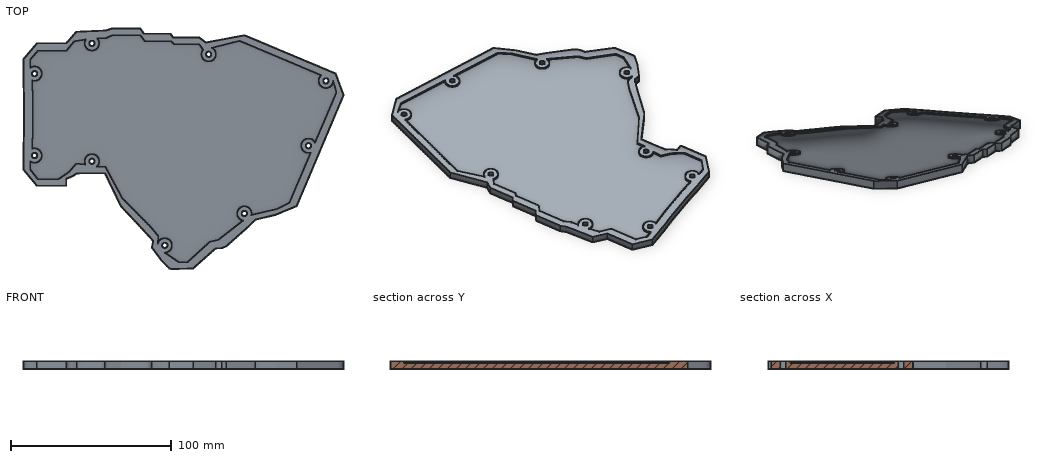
import cadquery as cq

LENGTH = 199.99
WIDTH = 150.43
THICKNESS = 5.0

POCKET_DEPTH = 1.0
POCKET_LEFT = 4.3
POCKET_SIDE = 5.5
POCKET_BEVEL = 9.0
POCKET_LEFT_TOP = 136.3
POCKET_LEFT_BOTTOM = 56.2

BOSS_DIAMETER = 9.0
HOLE_DIAMETER = 3.2

STEP_IN = 0.2
RECESS = 0.4
STEP_LOW_Y = 80.9
RECESS_LOW_Y = 87.5
RECESS_HIGH_Y = 105.6
STEP_HIGH_Y = 112.2

LEFT_BEVEL = 8.5
LEFT_RUN_END = 26.8
LEFT_TOP = 141.1
LEFT_BOTTOM = 52.0
LEFT_WALL_TOP = 131.1
LEFT_WALL_BOTTOM = 62.2

LEFT_WALL = [
    (0, LEFT_WALL_BOTTOM),
    (0, 77.3),
    (STEP_IN, STEP_LOW_Y),
    (RECESS, RECESS_LOW_Y),
    (RECESS, RECESS_HIGH_Y),
    (STEP_IN, STEP_HIGH_Y),
    (0, 115.2),
    (0, LEFT_WALL_TOP),
]

TOP_EDGE = [
    (LEFT_BEVEL, LEFT_TOP),
    (LEFT_RUN_END, LEFT_TOP),
    (33.1, 148.3),
    (51.5, 149.1),
    (55.5, WIDTH),
    (73.1, WIDTH),
    (75.2, 147.1),
    (91.8, 147.1),
    (93.6, 144.7),
    (109.8, 144.7),
    (114.0, 141.6),
    (138.1, 146.1),
]

RIGHT_EDGE = [
    (195.0, 122.2),
    (LENGTH, 108.7),
    (170.7, 39.4),
    (157.5, 33.9),
    (144.7, 30.8),
]

BOTTOM_EDGE = [
    (144.2, 30.2),
    (139.8, 25.9),
    (126.6, 14.2),
    (123.8, 13.1),
    (120.0, 12.9),
    (106.7, 1.1),
    (106.1, 0.4),
    (92.7, 0),
    (91.2, 0.4),
    (86.1, 5.6),
    (80.2, 13.5),
    (81.0, 17.7),
    (71.1, 28.5),
    (60.9, 39.3),
    (50.9, 59.9),
    (38.0, 59.9),
    (33.3, 59.7),
    (31.4, 58.5),
    (30.7, 58.0),
    (LEFT_RUN_END, 56.4),
    (LEFT_RUN_END, LEFT_BOTTOM),
    (LEFT_BEVEL, LEFT_BOTTOM),
]

OUTER_OUTLINE = LEFT_WALL + TOP_EDGE + RIGHT_EDGE + BOTTOM_EDGE

POCKET_OUTLINE = [
    (POCKET_LEFT, 62.3),
    (POCKET_LEFT, 66.9),
    (POCKET_SIDE, 75.0),
    (POCKET_SIDE + STEP_IN, STEP_LOW_Y),
    (POCKET_SIDE + RECESS, RECESS_LOW_Y),
    (POCKET_SIDE + RECESS, RECESS_HIGH_Y),
    (POCKET_SIDE + STEP_IN, STEP_HIGH_Y),
    (POCKET_SIDE, 118.2),
    (POCKET_LEFT, 126.6),
    (POCKET_LEFT, 130.9),
    (POCKET_BEVEL, POCKET_LEFT_TOP),
    (LEFT_RUN_END, POCKET_LEFT_TOP),
    (31.8, 142.3),
    (39.9, 143.6),
    (45.7, 144.1),
    (51.1, 144.1),
    (55.5, 146.0),
    (73.1, 146.0),
    (75.9, 142.3),
    (92.4, 142.3),
    (94.0, 140.5),
    (109.8, 140.5),
    (112.1, 137.1),
    (117.4, 138.1),
    (135.0, 142.6),
    (185.7, 121.2),
    (193.4, 117.6),
    (195.5, 110.4),
    (166.1, 41.5),
    (158.7, 37.7),
    (142.6, 33.9),
    (136.7, 30.0),
    (121.7, 18.3),
    (116.4, 17.1),
    (102.6, 4.5),
    (96.9, 4.5),
    (88.4, 10.3),
    (83.9, 15.8),
    (84.3, 20.6),
    (79.8, 26.1),
    (61.7, 44.4),
    (51.2, 64.0),
    (46.1, 64.0),
    (39.2, 65.3),
    (33.1, 65.9),
    (28.4, 60.6),
    (21.9, POCKET_LEFT_BOTTOM),
    (POCKET_BEVEL, POCKET_LEFT_BOTTOM),
]

BOSS_CENTRES = [
    (7.0, 122.1),
    (7.0, 71.0),
    (42.8, 141.0),
    (42.8, 67.4),
    (115.7, 134.2),
    (188.9, 117.6),
    (178.0, 77.1),
    (138.0, 34.8),
    (88.3, 14.9),
]


def make_plate():
    """Full-thickness plate with the outer outline."""
    return cq.Workplane("XY").polyline(OUTER_OUTLINE).close().extrude(THICKNESS)


def make_bosses():
    """Round bosses standing from the pocket floor up to the rim."""
    floor = cq.Workplane("XY").workplane(offset=THICKNESS - POCKET_DEPTH)
    return floor.pushPoints(BOSS_CENTRES).circle(BOSS_DIAMETER / 2).extrude(POCKET_DEPTH)


def make_pocket():
    """Material removed inside the rim, leaving the bosses standing."""
    floor = cq.Workplane("XY").workplane(offset=THICKNESS - POCKET_DEPTH)
    return floor.polyline(POCKET_OUTLINE).close().extrude(POCKET_DEPTH).cut(make_bosses())


def make_holes():
    """Through holes on the boss axes."""
    return cq.Workplane("XY").pushPoints(BOSS_CENTRES).circle(HOLE_DIAMETER / 2).extrude(THICKNESS)


result = make_plate().cut(make_pocket()).cut(make_holes())